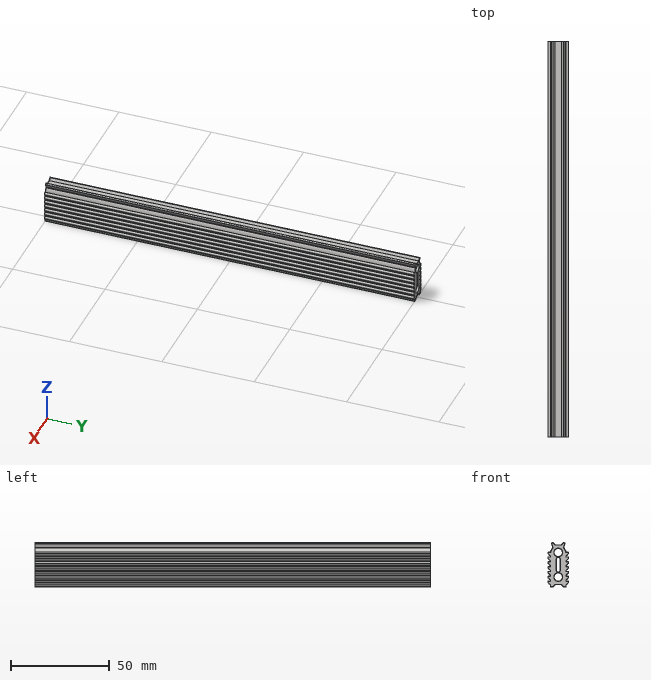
import cadquery as cq
import math

length = 200.0
height = 22.5
width = 10.5
half_height = height / 2
half_width = width / 2

wall_x = 4.0
shoulder_z = 5.5
bore_z = 6.2
bore_diameter = 4.2
slot_width = 1.8
slot_height = 7.5

tooth_count = 7
last_tooth_top = -8.2
first_tooth_top = 6.5
tooth_pitch = (first_tooth_top - last_tooth_top) / (tooth_count - 1)
tooth_tip_height = 0.8
tooth_slope_height = 1.2
tooth_round = 0.5

channel_depth = 1.2
channel_floor_half = 1.5
channel_mouth_half = 2.5

lip_x = 3.5
lip_round = 0.5
neck_x = 2.8
neck_straight = 0.5


def add_rounded_corner(outline, x, z, radius):
    """Line to an upper right corner, then a quarter arc down to its vertical side."""
    diagonal = radius * (1 - math.sqrt(0.5))
    return outline.lineTo(x - radius, z).threePointArc((x - diagonal, z - diagonal), (x, z - radius))


def add_tooth(outline, tooth_top):
    """One tooth with a flat top, starting from where that top meets the wall."""
    tip_bottom = tooth_top - tooth_tip_height
    outline = add_rounded_corner(outline, half_width, tooth_top, tooth_round)
    return outline.lineTo(half_width, tip_bottom).lineTo(wall_x, tip_bottom - tooth_slope_height)


def half_profile():
    """Right half of the outline, closed along the centre plane."""
    channel_z = half_height - channel_depth
    neck_z = shoulder_z + math.sqrt(wall_x**2 - neck_x**2)
    shoulder_start = math.atan2(neck_z - shoulder_z, neck_x)
    shoulder_end = math.asin((first_tooth_top - shoulder_z) / wall_x)
    middle = (shoulder_start + shoulder_end) / 2
    shoulder_middle = (wall_x * math.cos(middle), shoulder_z + wall_x * math.sin(middle))
    shoulder_foot = (wall_x * math.cos(shoulder_end), first_tooth_top)

    outline = (
        cq.Workplane("XZ", origin=(0, length / 2, 0))
        .moveTo(0, channel_z)
        .lineTo(channel_floor_half, channel_z)
        .lineTo(channel_mouth_half, half_height)
    )
    outline = add_rounded_corner(outline, lip_x, half_height, lip_round)
    outline = outline.lineTo(neck_x, neck_z + neck_straight).lineTo(neck_x, neck_z)
    outline = outline.threePointArc(shoulder_middle, shoulder_foot)
    for index in range(tooth_count):
        tooth_top = first_tooth_top - index * tooth_pitch
        outline = add_tooth(outline.lineTo(wall_x, tooth_top) if index else outline, tooth_top)
    return (
        outline.lineTo(wall_x, -half_height)
        .lineTo(channel_mouth_half, -half_height)
        .lineTo(channel_floor_half, -channel_z)
        .lineTo(0, -channel_z)
        .close()
    )


def through_openings():
    """Two round bores and the narrow slot between them."""
    sketch = cq.Workplane("XZ", origin=(0, length / 2, 0))
    bores = sketch.pushPoints([(0, bore_z), (0, -bore_z)]).circle(bore_diameter / 2).extrude(length)
    slot = sketch.slot2D(slot_height, slot_width, 90).extrude(length)
    return bores.union(slot)


right_half = half_profile().extrude(length)
body = right_half.union(right_half.mirror("YZ"))
result = body.cut(through_openings())